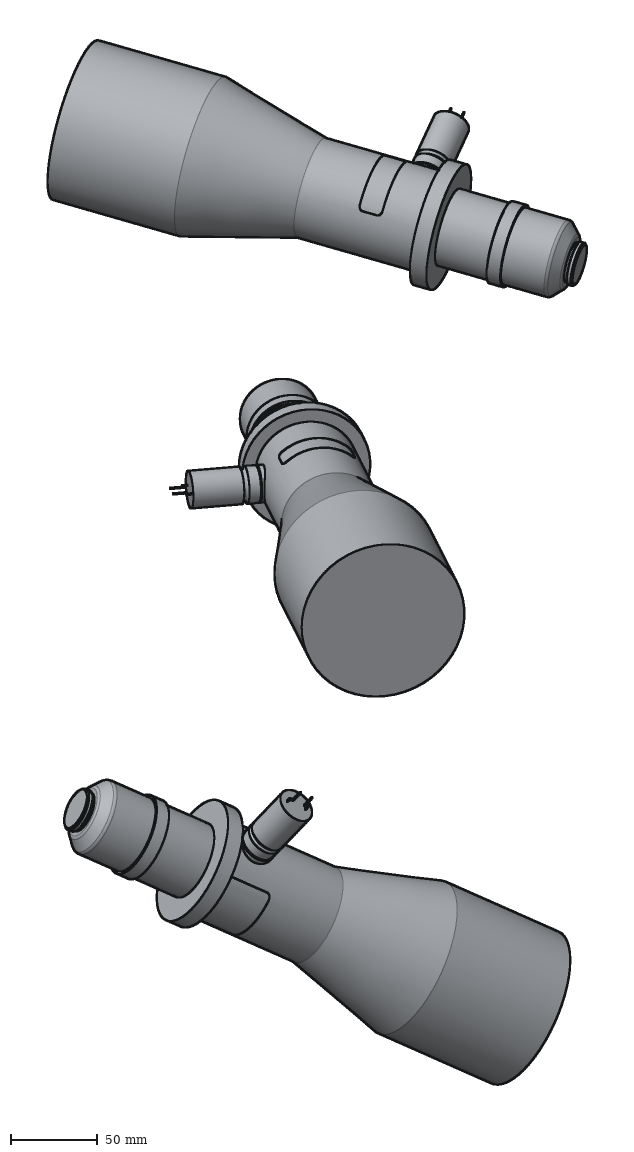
import cadquery as cq

TOTAL_LENGTH = 310.0
FRONT_RADIUS = 48.0
FRONT_END = 78.0
BARREL_START = 145.0
BARREL_RADIUS = 30.0
FLANGE_START = 219.0
FLANGE_END = 229.5
FLANGE_RADIUS = 37.8
REAR_RADIUS = 23.2
RING_START = 261.5
RING_END = 270.0
RING_RADIUS = 24.8
REAR_END = 304.7
BEVEL = 7.0
BEVEL_FILLET = 2.8
NECK_RADIUS = 12.0
CAP_START = 306.5
CAP_RADIUS = 13.0
CAP_CHAMFER = 1.0

LABEL_DEPTH = 0.15
TOP_LABEL_START = 181.5
TOP_LABEL_LENGTH = 14.0
TOP_LABEL_WIDTH = 43.0
TOP_LABEL_CORNER = 2.5
BOTTOM_LABEL_START = 188.0
BOTTOM_LABEL_LENGTH = 30.7
BOTTOM_LABEL_WIDTH = 41.0
BOTTOM_LABEL_CORNER = 3.0

CONNECTOR_X = 204.5
CONNECTOR_DIAMETER = 22.0
CONNECTOR_RADIUS = CONNECTOR_DIAMETER / 2
CONNECTOR_TOP = 72.0
JOINT_BOTTOM = 31.3
JOINT_TOP = 32.0
JOINT_DEPTH = 0.3
GROOVE_HEIGHT = 40.3
GROOVE_RADIUS = 1.5

PIN_THICKNESS = 0.5
PIN_TOP = 82.5
PIN_FOOT_OFFSET = 6.5
PIN_TIP_OFFSET = 3.7
PIN_BEND_HEIGHT = 74.5


def lens_body():
    """Stepped barrel, with the slender core and end cap that carry the rear nose."""
    outline = [
        (0, 0),
        (0, FRONT_RADIUS),
        (FRONT_END, FRONT_RADIUS),
        (BARREL_START, BARREL_RADIUS),
        (FLANGE_START, BARREL_RADIUS),
        (FLANGE_START, FLANGE_RADIUS),
        (FLANGE_END, FLANGE_RADIUS),
        (FLANGE_END, REAR_RADIUS),
        (RING_START, REAR_RADIUS),
        (RING_START, RING_RADIUS),
        (RING_END, RING_RADIUS),
        (RING_END, NECK_RADIUS),
        (CAP_START, NECK_RADIUS),
        (CAP_START, CAP_RADIUS),
        (TOTAL_LENGTH - CAP_CHAMFER, CAP_RADIUS),
        (TOTAL_LENGTH, CAP_RADIUS - CAP_CHAMFER),
        (TOTAL_LENGTH, 0),
    ]
    return cq.Workplane("XY").polyline(outline).close().revolve(360, (0, 0), (1, 0))


def rear_nose():
    """Last stretch of the rear tube, bevelled with softened bevel edges."""
    tube = (
        cq.Workplane("YZ", origin=(RING_END, 0, 0))
        .circle(REAR_RADIUS)
        .extrude(REAR_END - RING_END)
    )
    return tube.faces(">X").chamfer(BEVEL).faces("%CONE").edges("%CIRCLE").fillet(BEVEL_FILLET)


def label_recess(start, length, width, corner, side):
    """Thin curved cutter under the barrel surface; side is +1 for top, -1 for bottom."""
    patch = (
        cq.Workplane("XY")
        .center(start + length / 2, 0)
        .rect(length, width)
        .extrude(side * FLANGE_RADIUS)
        .edges("|Z")
        .fillet(corner)
    )
    core = cq.Workplane("YZ").circle(BARREL_RADIUS - LABEL_DEPTH).extrude(TOTAL_LENGTH)
    return patch.cut(core)


def connector():
    """Round stem with a fine joint line near the barrel and a half-round groove above it."""
    joint_radius = CONNECTOR_RADIUS - JOINT_DEPTH
    stem = (
        cq.Workplane("XY")
        .lineTo(CONNECTOR_RADIUS, 0)
        .lineTo(CONNECTOR_RADIUS, JOINT_BOTTOM)
        .lineTo(joint_radius, JOINT_BOTTOM)
        .lineTo(joint_radius, JOINT_TOP)
        .lineTo(CONNECTOR_RADIUS, JOINT_TOP)
        .lineTo(CONNECTOR_RADIUS, GROOVE_HEIGHT - GROOVE_RADIUS)
        .threePointArc(
            (CONNECTOR_RADIUS - GROOVE_RADIUS, GROOVE_HEIGHT),
            (CONNECTOR_RADIUS, GROOVE_HEIGHT + GROOVE_RADIUS),
        )
        .lineTo(CONNECTOR_RADIUS, CONNECTOR_TOP)
        .lineTo(0, CONNECTOR_TOP)
        .close()
        .revolve(360, (0, 0), (0, 1))
    )
    return stem.translate((CONNECTOR_X, 0, 0))


def contact_pin(side):
    """Square wire pin that jogs towards the connector axis; side is +1 or -1 along X."""
    foot_inner = PIN_FOOT_OFFSET - PIN_THICKNESS
    tip_outer = PIN_TIP_OFFSET + PIN_THICKNESS
    bend_top = PIN_BEND_HEIGHT + PIN_THICKNESS
    outline = [
        (foot_inner, CONNECTOR_TOP),
        (PIN_FOOT_OFFSET, CONNECTOR_TOP),
        (PIN_FOOT_OFFSET, bend_top),
        (tip_outer, bend_top),
        (tip_outer, PIN_TOP),
        (PIN_TIP_OFFSET, PIN_TOP),
        (PIN_TIP_OFFSET, PIN_BEND_HEIGHT),
        (foot_inner, PIN_BEND_HEIGHT),
    ]
    points = [(CONNECTOR_X + side * x, y) for x, y in outline]
    return cq.Workplane("XY").polyline(points).close().extrude(PIN_THICKNESS / 2, both=True)


result = lens_body().union(rear_nose())
result = result.cut(
    label_recess(TOP_LABEL_START, TOP_LABEL_LENGTH, TOP_LABEL_WIDTH, TOP_LABEL_CORNER, 1)
)
result = result.cut(
    label_recess(BOTTOM_LABEL_START, BOTTOM_LABEL_LENGTH, BOTTOM_LABEL_WIDTH, BOTTOM_LABEL_CORNER, -1)
)
result = result.union(connector())
for side in (-1, 1):
    result = result.union(contact_pin(side))